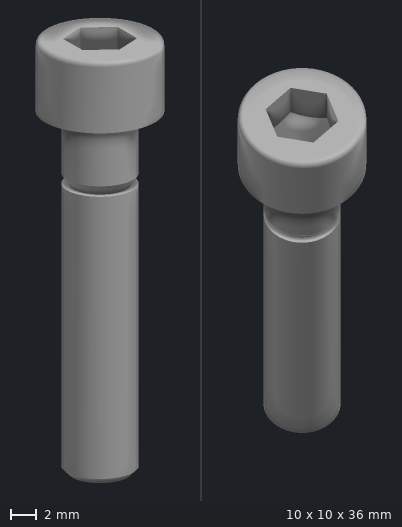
import cadquery as cq
import math

total_length = 36.0
head_diameter = 10.0
head_height = 6.0
shank_diameter = 6.0
head_edge_radius = 0.5
neck_fillet_radius = 0.25

neck_length = 6.0
groove_height = 0.85
groove_depth = 0.55

tip_chamfer = 0.55

socket_across_flats = 5.0
socket_depth = 3.0
floor_cone_angle = 120.0

head_radius = head_diameter / 2
shank_radius = shank_diameter / 2
head_underside = total_length - head_height
groove_floor = head_underside - neck_length


def make_body():
    """Revolve the half profile of the screw about Z, with the tip at Z = 0."""
    groove_radius = shank_radius - groove_depth
    profile = (
        cq.Workplane("XZ")
        .moveTo(0, 0)
        .lineTo(shank_radius - tip_chamfer, 0)
        .lineTo(shank_radius, tip_chamfer)
        .lineTo(shank_radius, groove_floor)
        .lineTo(groove_radius, groove_floor)
        .lineTo(shank_radius, groove_floor + groove_height)
        .lineTo(shank_radius, head_underside - neck_fillet_radius)
        .radiusArc((shank_radius + neck_fillet_radius, head_underside), neck_fillet_radius)
        .lineTo(head_radius, head_underside)
        .lineTo(head_radius, total_length - head_edge_radius)
        .radiusArc((head_radius - head_edge_radius, total_length), -head_edge_radius)
        .lineTo(0, total_length)
        .close()
    )
    return profile.revolve(360, (0, 0), (0, 1))


def make_socket():
    """Hexagonal prism, corners on X, whose floor is a cone through its corners."""
    corner_radius = socket_across_flats / math.sqrt(3)
    cone_depth = corner_radius / math.tan(math.radians(floor_cone_angle / 2))
    prism = (
        cq.Workplane("XY")
        .workplane(offset=total_length)
        .polygon(6, 2 * corner_radius)
        .extrude(-(socket_depth + cone_depth))
    )
    floor_height = total_length - socket_depth
    drill_envelope = (
        cq.Workplane("XZ")
        .moveTo(0, floor_height - cone_depth)
        .lineTo(corner_radius, floor_height)
        .lineTo(head_radius, floor_height)
        .lineTo(head_radius, total_length)
        .lineTo(0, total_length)
        .close()
        .revolve(360, (0, 0), (0, 1))
    )
    return prism.intersect(drill_envelope)


result = make_body().cut(make_socket())